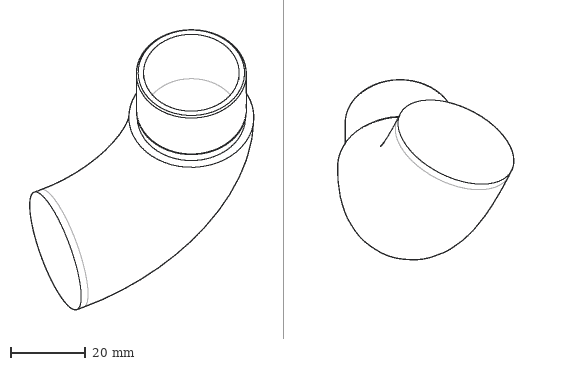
import cadquery as cq

overall_height = 75

pipe_diameter = 33.7
bore_diameter = 25.7
bend_angle = 90
cap_thickness = 2.0

spigot_diameter = 29.6
spigot_length = 20.0
neck_diameter = 29.2
neck_length = 3.0
rim_chamfer = 0.5

bend_radius = overall_height - spigot_length - pipe_diameter / 2


def quarter_bend(diameter):
    """Round bar turning from straight down at the origin to horizontal towards -Y."""
    axis_start = (0, -bend_radius)
    axis_end = (-1, -bend_radius)
    return cq.Workplane("XY").circle(diameter / 2).revolve(bend_angle, axis_start, axis_end)


def upright_cylinder(diameter, bottom, length):
    """Cylinder on the Z axis, rising from the height `bottom`."""
    return cq.Workplane("XY").workplane(offset=bottom).circle(diameter / 2).extrude(length)


def end_cap():
    """Flat disc on the horizontal end of the bend."""
    return (
        cq.Workplane("XZ", origin=(0, -bend_radius, -bend_radius))
        .circle(pipe_diameter / 2)
        .extrude(cap_thickness)
    )


def spigot():
    """Relieved neck with the full-diameter spigot above it, chamfered at the rim."""
    neck = upright_cylinder(neck_diameter, 0, neck_length)
    sleeve = upright_cylinder(spigot_diameter, neck_length, spigot_length - neck_length)
    return neck.union(sleeve.faces(">Z").edges().chamfer(rim_chamfer))


def bore():
    """Passage down the spigot and round the bend as far as the cap."""
    return upright_cylinder(bore_diameter, 0, spigot_length).union(quarter_bend(bore_diameter))


result = quarter_bend(pipe_diameter).union(end_cap()).union(spigot()).cut(bore())